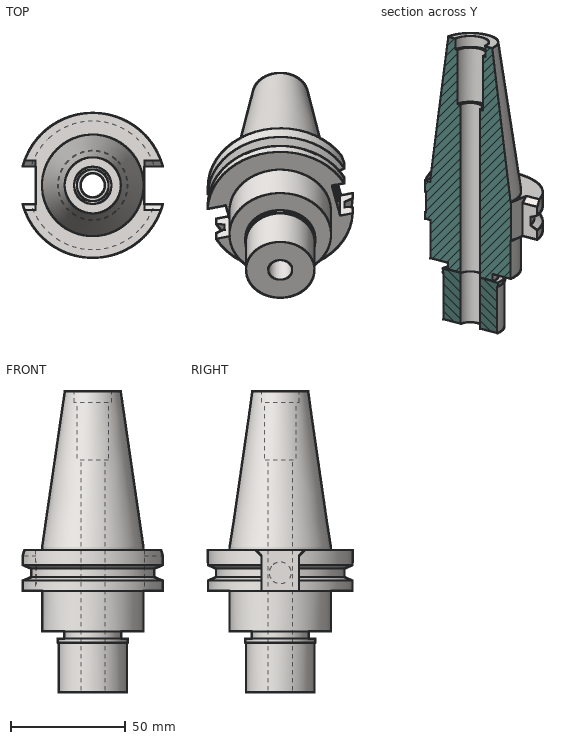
import cadquery as cq


gauge_diameter = 44.45
taper_length = 68.25
taper_ratio = 7 / 24
small_end_diameter = gauge_diameter - taper_length * taper_ratio

flange_diameter = 63.5
flange_top = -1.15
flange_bottom = -19.05
groove_diameter = 56.36
groove_center = -11.2
groove_mouth_width = 6.85
groove_floor_width = 3.65

nose_diameter = gauge_diameter
nose_bottom = -36.75
neck_diameter = 25.0

nut_diameter = 30.0
nut_rim_diameter = 30.7
nut_rim_height = 1.7
nut_rim_chamfer = (nut_rim_diameter - nut_diameter) / 2
nut_top = -39.9
nut_bottom = -63.5

pilot_diameter = 16.3
pilot_depth = 5.0
thread_bore_diameter = 13.9
thread_bore_depth = 30.0
through_diameter = 10.5

slot_width = 16.38
slot_floor_left = 25.0
slot_floor_right = 22.6
slot_chamfer = 2.6

seat_diameter = 9.525
seat_depth = 0.3
seat_center_z = groove_center


def revolve_profile(points):
    """Revolve a closed (radius, z) outline about the Z axis."""
    return cq.Workplane("XZ").polyline(points).close().revolve(360, (0, 0, 0), (0, 1, 0))


def cylinder(diameter, bottom, top):
    """Upright cylinder on the Z axis between two heights."""
    return cq.Workplane("XY").workplane(offset=bottom).circle(diameter / 2).extrude(top - bottom)


def holder_blank():
    """Taper, grooved flange, nose and neck as one turned shape."""
    mouth = groove_mouth_width / 2
    floor = groove_floor_width / 2
    return revolve_profile([
        (0, taper_length),
        (small_end_diameter / 2, taper_length),
        (gauge_diameter / 2, 0),
        (gauge_diameter / 2, flange_top),
        (flange_diameter / 2, flange_top),
        (flange_diameter / 2, groove_center + mouth),
        (groove_diameter / 2, groove_center + floor),
        (groove_diameter / 2, groove_center - floor),
        (flange_diameter / 2, groove_center - mouth),
        (flange_diameter / 2, flange_bottom),
        (nose_diameter / 2, flange_bottom),
        (nose_diameter / 2, nose_bottom),
        (neck_diameter / 2, nose_bottom),
        (neck_diameter / 2, nut_top),
        (0, nut_top),
    ])


def drive_slot(floor_distance, side):
    """Cutter for a slot with a flared top; side is -1 for -X and +1 for +X."""
    half = slot_width / 2
    flared_half = half + slot_chamfer
    length = flange_diameter / 2 - floor_distance
    return (
        cq.Workplane("YZ", origin=(side * floor_distance, 0, 0))
        .polyline([
            (-half, flange_bottom),
            (half, flange_bottom),
            (half, flange_top - slot_chamfer),
            (flared_half, flange_top),
            (-flared_half, flange_top),
            (-half, flange_top - slot_chamfer),
        ])
        .close()
        .extrude(side * length)
    )


def slot_seat():
    """Cutter for the round seat in the -X slot floor."""
    return (
        cq.Workplane("YZ", origin=(-slot_floor_left, 0, seat_center_z))
        .circle(seat_diameter / 2)
        .extrude(seat_depth)
    )


def make_holder():
    pilot = cylinder(pilot_diameter, taper_length - pilot_depth, taper_length)
    thread_bore = cylinder(thread_bore_diameter, taper_length - thread_bore_depth, taper_length)
    through_bore = cylinder(through_diameter, nut_top, taper_length)
    holder = holder_blank().cut(pilot).cut(thread_bore).cut(through_bore)
    for floor_distance, side in ((slot_floor_left, -1), (slot_floor_right, 1)):
        holder = holder.cut(drive_slot(floor_distance, side))
    return holder.cut(slot_seat())


def make_nut():
    """Plain nut with a narrow rim around its top edge, chamfered on its lower side."""
    rim_bottom = nut_top - nut_rim_height
    blank = revolve_profile([
        (0, nut_top),
        (nut_rim_diameter / 2, nut_top),
        (nut_rim_diameter / 2, rim_bottom),
        (nut_diameter / 2, rim_bottom - nut_rim_chamfer),
        (nut_diameter / 2, nut_bottom),
        (0, nut_bottom),
    ])
    return blank.cut(cylinder(through_diameter, nut_bottom, nut_top))


holder = make_holder()
nut = make_nut()
result = cq.Compound.makeCompound([holder.val(), nut.val()])